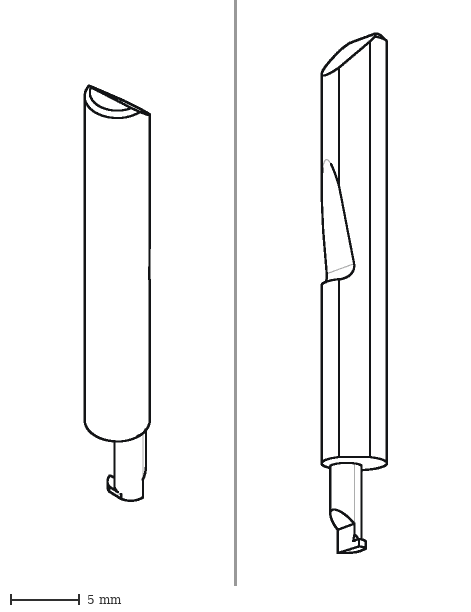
import cadquery as cq
import math

total_length = 38.1
shank_diameter = 4.75
shank_radius = shank_diameter / 2
shank_start = 6.32
shank_length = total_length - shank_start
top_chamfer = 0.4

flat_distance = 2.1
flat_normal_degrees = 150

bevel_edge_y = -0.72

notch_bottom = 19.6
notch_floor_y = 1.05
notch_radius = 1.0
notch_slope_degrees = 9.3

neck_width = 2.267
neck_length = shank_radius
neck_center_x = neck_length / 2
rake_slope_start = 1.83

tip_reach_x = -0.7
tip_height = 0.57
tip_flank_mid = (-0.45, -0.57)
tip_heel = (0.05, -1.0)
tip_front = (1.25, -1.15)
tip_clearance_x = 0.03
tip_clearance_y = 0.05

relief_depth = 0.15
relief_top = 1.0

reach = 2 * shank_diameter


def side_prism(points):
    """Solid with a (Y, Z) outline, running through the whole part along X."""
    return cq.Workplane("YZ").polyline(points).close().extrude(reach, both=True)


def make_shank():
    bar = cq.Workplane("XY").workplane(offset=shank_start).circle(shank_radius)
    bar = bar.extrude(shank_length).faces(">Z").chamfer(top_chamfer)
    flat_cutter = (
        cq.Workplane("XY")
        .box(reach, reach, total_length, centered=(False, True, False))
        .translate((flat_distance, 0, 0))
        .rotate((0, 0, 0), (0, 0, 1), flat_normal_degrees)
    )
    bevel_cutter = side_prism([
        (bevel_edge_y, total_length),
        (bevel_edge_y + reach, total_length - reach),
        (bevel_edge_y + reach, total_length),
    ])
    return bar.cut(flat_cutter).cut(bevel_cutter)


def make_notch():
    """Sloping notch with a round root above its square lower wall."""
    slope = math.radians(notch_slope_degrees)
    root_y = notch_floor_y + notch_radius
    root_z = notch_bottom + notch_radius

    def root_point(angle):
        """Point on the root arc, angle measured upward from the -Y direction."""
        return root_y - notch_radius * math.cos(angle), root_z + notch_radius * math.sin(angle)

    tangent_y, tangent_z = root_point(slope)
    outer_y = shank_diameter
    outer_z = tangent_z + (outer_y - tangent_y) / math.tan(slope)
    return (
        cq.Workplane("YZ")
        .moveTo(outer_y, notch_bottom)
        .lineTo(root_y, notch_bottom)
        .threePointArc(root_point(-math.pi / 4), (tangent_y, tangent_z))
        .lineTo(outer_y, outer_z)
        .close()
        .extrude(reach, both=True)
    )


def make_neck():
    """Neck of two shallow arcs meeting in edges at Y = 0, relieved above the tip."""
    neck = (
        cq.Workplane("XY")
        .moveTo(0, 0)
        .threePointArc((neck_center_x, -neck_width / 2), (neck_length, 0))
        .threePointArc((neck_center_x, neck_width / 2), (0, 0))
        .close()
        .extrude(shank_start)
    )
    relief_cutter = (
        cq.Workplane("XZ")
        .polyline([(0, relief_top), (relief_depth, tip_height), (relief_depth, 0), (0, 0)])
        .close()
        .extrude(reach, both=True)
    )
    return neck.cut(relief_cutter)


def make_tip():
    return (
        cq.Workplane("XY")
        .moveTo(tip_reach_x, 0)
        .threePointArc(tip_flank_mid, tip_heel)
        .lineTo(*tip_front)
        .lineTo(tip_front[0], 0)
        .close()
        .extrude(tip_height)
    )


def make_rake_cutter():
    """Removes the +Y half of the neck at the tip, leaving a flat rake face and a 45 degree slope."""
    return side_prism([
        (0, 0),
        (0, rake_slope_start),
        (neck_width, rake_slope_start + neck_width),
        (neck_width, 0),
    ])


def make_clearance_cutter():
    """Tilts the end face so that only the cutting corner reaches Z = 0."""
    return (
        cq.Workplane("XY")
        .box(reach, reach, reach, centered=(True, True, False))
        .translate((0, 0, -reach))
        .rotate((0, 0, 0), (0, 1, 0), -math.degrees(math.atan(tip_clearance_x)))
        .rotate((0, 0, 0), (1, 0, 0), -math.degrees(math.atan(tip_clearance_y)))
        .translate((tip_reach_x, 0, 0))
    )


cutting_end = make_neck().union(make_tip()).cut(make_rake_cutter()).cut(make_clearance_cutter())
result = make_shank().cut(make_notch()).union(cutting_end)